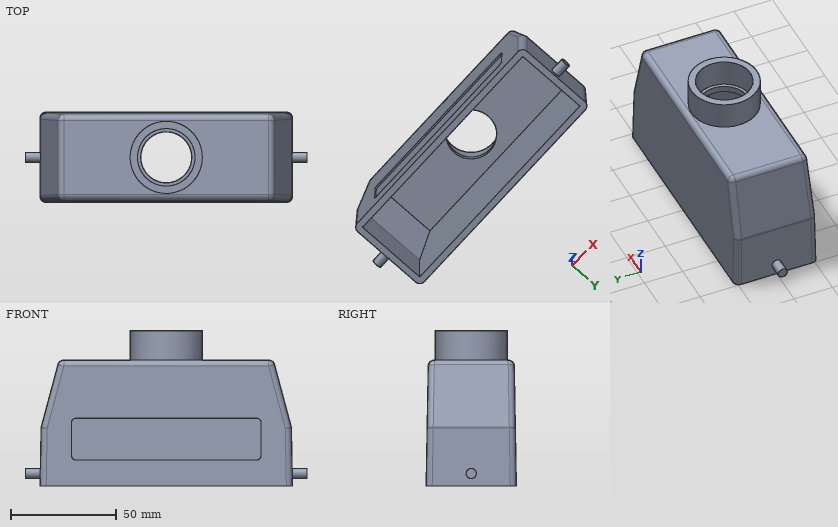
import cadquery as cq
import math

total_length = 134.0
total_height = 74.0
base_length = 120.0
base_width = 43.0
body_height = 59.9
wall_thickness = 3.2

draft_angle = 1.0
end_lean_angle = 15.0
shoulder_height = 27.9

edge_radius = 3.0
shoulder_radius = 2.7

collar_radius = 17.2
collar_bore_radius = 13.7
entry_hole_radius = 12.0

peg_radius = 2.4
peg_height = 6.0

label_length = 90.0
label_width = 19.8
label_height = 22.4
label_depth = 0.8
label_corner_radius = 2.0


def lean(height, angle):
    """Horizontal distance a wall leaning by the angle moves over the height."""
    return height * math.tan(math.radians(angle))


half_length = base_length / 2
half_width = base_width / 2
shoulder_half_length = half_length - lean(shoulder_height, draft_angle)
roof_half_length = shoulder_half_length - lean(body_height - shoulder_height, end_lean_angle)
roof_half_width = half_width - lean(body_height, draft_angle)


def make_sharp_hull():
    """Solid hood shape with drafted walls and tapered ends, before rounding."""
    long_profile = (
        cq.Workplane("XZ")
        .polyline([
            (-half_length, 0),
            (half_length, 0),
            (shoulder_half_length, shoulder_height),
            (roof_half_length, body_height),
            (-roof_half_length, body_height),
            (-shoulder_half_length, shoulder_height),
        ])
        .close()
        .extrude(half_width, both=True)
    )
    cross_profile = (
        cq.Workplane("YZ")
        .polyline([
            (-half_width, 0),
            (half_width, 0),
            (roof_half_width, body_height),
            (-roof_half_width, body_height),
        ])
        .close()
        .extrude(half_length, both=True)
    )
    return long_profile.intersect(cross_profile)


def round_outer_edges(hull):
    """Soften the two shoulders, then round the upright corners and the roof rim."""
    shoulders = hull.edges("|Y").edges("not(<Z or >Z)")
    hull = shoulders.fillet(shoulder_radius)
    upright_corners = hull.edges("not(#Z)")
    corners_and_roof_rim = upright_corners.add(hull.faces(">Z").edges())
    return corners_and_roof_rim.fillet(edge_radius)


def make_cavity(hull):
    """Inside space of the hood, one wall thickness in from the hull and open at the base."""
    walls = hull.faces("<Z").shell(-wall_thickness, kind="intersection")
    return hull.cut(walls)


def make_peg(side):
    """Locking peg rooted inside one end wall; side is -1 or 1 along X."""
    root_x = half_length - wall_thickness / 2
    return (
        cq.Workplane("YZ", origin=(side * root_x, 0, peg_height))
        .circle(peg_radius)
        .extrude(side * (total_length / 2 - root_x))
    )


def make_label_recess():
    """Cutter with a floor parallel to the drafted -Y wall."""
    wall_y = -half_width + lean(label_height, draft_angle)
    return (
        cq.Workplane("XZ")
        .rect(label_length, label_width)
        .extrude(label_depth, both=True)
        .edges("|Y")
        .fillet(label_corner_radius)
        .rotate((0, 0, 0), (1, 0, 0), -draft_angle)
        .translate((0, wall_y, label_height))
    )


collar = (
    cq.Workplane("XY", origin=(0, 0, body_height))
    .circle(collar_radius)
    .circle(collar_bore_radius)
    .extrude(total_height - body_height)
)
entry_hole = cq.Workplane("XY").circle(entry_hole_radius).extrude(body_height)

sharp_hull = make_sharp_hull()

result = (
    round_outer_edges(sharp_hull)
    .cut(make_cavity(sharp_hull))
    .cut(make_label_recess())
    .cut(entry_hole)
    .union(collar)
)
for side in (-1, 1):
    result = result.union(make_peg(side))